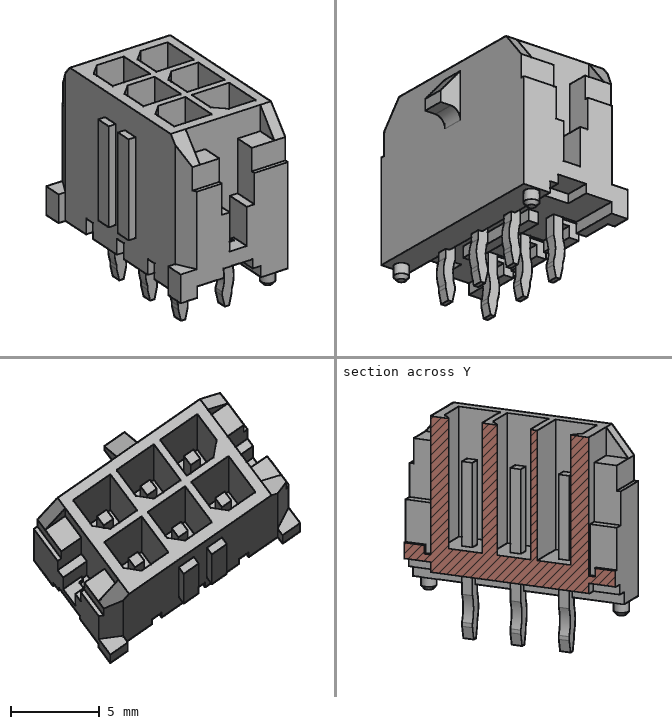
import cadquery as cq

HALF_WIDTH = 6.58
SHOULDER_HALF_WIDTH = 6.33
CORE_HALF_WIDTH = 4.93
DEPTH = 6.9
HEIGHT = 9.9
SHOULDER_Z = 6.75
POST_TOP_Z = 8.23
BACK_GUSSET_THICKNESS = 0.75
FRONT_GUSSET_THICKNESS = 1.03
CORNER_CUT_X = 1.22
CORNER_CUT_Y = 0.65

FOOT_PROJECTION = 0.47
FOOT_HEIGHT = 1.83
RIB_WIDTH = 1.04
RIB_CENTER_X = 0.97

LATCH_WIDTH = 1.42
LATCH_PROJECTION = 1.4
LATCH_BASE_TOP_Z = 9.34
LATCH_TIP_TOP_Z = 7.72
LATCH_BOTTOM_Z = 6.98
LATCH_FILLET = 0.7

MID_Y = 3.48
KEY_WIDTH = 2.24
KEY_FLOOR_Z = 4.76
NARROW_WIDTH = 1.17
NARROW_FLOOR_Z = 2.27
CLIP_HOLE_DEPTH = 0.5
CLIP_BAR_X = 5.3
CLIP_TONGUE_X = 5.6
CLIP_TONGUE_WIDTH = 0.8

PITCH = 3.01
COLUMNS = (-PITCH, 0.0, PITCH)
ROWS = (MID_Y - PITCH / 2, MID_Y + PITCH / 2)
SOCKET_SIZE = 2.58
SOCKET_CHAMFER = 0.72
SOCKET_FLOOR_Z = 2.27
PIN_SIZE = 0.66
PIN_TOP_Z = 7.23
BEND_TOP_Z = -0.54
BEND_BOTTOM_Z = -2.18
BEND_BULGE = 0.15
TAPER_TOP_Z = -2.42
PIN_BOTTOM_Z = -3.18
PIN_TIP_THICKNESS = 0.3

CHANNEL_FRONT_Y = 0.68
CHANNEL_BACK_Y = 5.05
CHANNEL_DEPTH = 0.72
SIDE_POCKET_WIDTH = 2.0
SIDE_POCKET_TOP_Z = 1.32
STANDOFF_THICKNESS = 0.68
STANDOFF_HALF_LENGTH = PITCH
NOTCH_HEIGHT = 1.01
PEG_X = 6.0
PEG_Y = 5.92
PEG_DIAMETER = 0.91
PEG_LENGTH = 0.9
PEG_CHAMFER_RADIAL = 0.21
PEG_CHAMFER_HEIGHT = 0.24

SIDES = (-1, 1)


def box(x_range, y_range, z_range):
    """Axis-aligned box between two limits on each axis, given in either order."""
    sizes = [abs(high - low) for low, high in (x_range, y_range, z_range)]
    corner = (min(x_range), min(y_range), min(z_range))
    return cq.Workplane("XY").box(*sizes, centered=False).translate(corner)


def centered_span(middle, width):
    return (middle - width / 2, middle + width / 2)


def housing_block():
    """Stepped outline with sloped shoulders, bevelled at the front corners, plus front feet."""
    right_half = [
        (HALF_WIDTH, 0),
        (HALF_WIDTH, SHOULDER_Z),
        (SHOULDER_HALF_WIDTH, SHOULDER_Z),
        (SHOULDER_HALF_WIDTH, POST_TOP_Z),
        (CORE_HALF_WIDTH, HEIGHT),
    ]
    left_half = [(-x, z) for x, z in reversed(right_half)]
    block = cq.Workplane("XZ").polyline(right_half + left_half).close().extrude(-DEPTH)
    for side in SIDES:
        bevel = (
            cq.Workplane("XY")
            .moveTo(side * HALF_WIDTH, 0)
            .lineTo(side * (HALF_WIDTH - CORNER_CUT_X), 0)
            .lineTo(side * HALF_WIDTH, CORNER_CUT_Y)
            .close()
            .extrude(HEIGHT)
        )
        foot = box(
            (side * (HALF_WIDTH - CORNER_CUT_X), side * HALF_WIDTH),
            (-FOOT_PROJECTION, CORNER_CUT_Y),
            (0, FOOT_HEIGHT),
        )
        block = block.cut(bevel).union(foot)
    return block


def side_cuts(side):
    """Everything removed from one side face: gusset gap, stepped key slot, clip hole, pocket."""
    to_core = (side * CORE_HALF_WIDTH, side * HALF_WIDTH)
    gap = box(
        to_core,
        (FRONT_GUSSET_THICKNESS, DEPTH - BACK_GUSSET_THICKNESS),
        (POST_TOP_Z, HEIGHT),
    )
    key = box(to_core, centered_span(MID_Y, KEY_WIDTH), (KEY_FLOOR_Z, POST_TOP_Z))
    narrow = box(to_core, centered_span(MID_Y, NARROW_WIDTH), (NARROW_FLOOR_Z, KEY_FLOOR_Z))
    hole_z = (NARROW_FLOOR_Z - CLIP_HOLE_DEPTH, NARROW_FLOOR_Z)
    clip_bar = box(
        (side * CORE_HALF_WIDTH, side * CLIP_BAR_X), centered_span(MID_Y, NARROW_WIDTH), hole_z
    )
    clip_tongue = box(
        (side * CLIP_BAR_X, side * CLIP_TONGUE_X), centered_span(MID_Y, CLIP_TONGUE_WIDTH), hole_z
    )
    pocket = box(to_core, centered_span(MID_Y, SIDE_POCKET_WIDTH), (0, SIDE_POCKET_TOP_Z))
    return gap.union(key).union(narrow).union(clip_bar).union(clip_tongue).union(pocket)


def front_rib(side):
    return box(
        centered_span(side * RIB_CENTER_X, RIB_WIDTH),
        (-FOOT_PROJECTION, 0),
        (FOOT_HEIGHT, POST_TOP_Z),
    )


def latch():
    """Ramped catch with a concave fillet where its underside meets the back face."""
    tip_y = DEPTH + LATCH_PROJECTION
    return (
        cq.Workplane("YZ")
        .moveTo(DEPTH, LATCH_BASE_TOP_Z)
        .lineTo(tip_y, LATCH_TIP_TOP_Z)
        .lineTo(tip_y, LATCH_BOTTOM_Z)
        .lineTo(DEPTH + LATCH_FILLET, LATCH_BOTTOM_Z)
        .radiusArc((DEPTH, LATCH_BOTTOM_Z - LATCH_FILLET), -LATCH_FILLET)
        .close()
        .extrude(LATCH_WIDTH / 2, both=True)
    )


def socket(x, y, chamfer_side):
    """Square socket whose front corner on the chosen side is chamfered."""
    half = SOCKET_SIZE / 2
    outline = [
        (-chamfer_side * half, -half),
        (chamfer_side * (half - SOCKET_CHAMFER), -half),
        (chamfer_side * half, SOCKET_CHAMFER - half),
        (chamfer_side * half, half),
        (-chamfer_side * half, half),
    ]
    prism = cq.Workplane("XY").polyline(outline).close().extrude(HEIGHT - SOCKET_FLOOR_Z)
    return prism.translate((x, y, SOCKET_FLOOR_Z))


def pin(x, y, bulge_direction):
    """Square contact whose tail bows toward bulge_direction along Y and tapers to its tip."""
    half = PIN_SIZE / 2
    half_tip = PIN_TIP_THICKNESS / 2
    bulge = bulge_direction * BEND_BULGE
    bend_middle_z = (BEND_TOP_Z + BEND_BOTTOM_Z) / 2
    profile = (
        cq.Workplane("YZ")
        .moveTo(-half, PIN_TOP_Z)
        .lineTo(-half, BEND_TOP_Z)
        .threePointArc((bulge - half, bend_middle_z), (-half, BEND_BOTTOM_Z))
        .lineTo(-half, TAPER_TOP_Z)
        .lineTo(-half_tip, PIN_BOTTOM_Z)
        .lineTo(half_tip, PIN_BOTTOM_Z)
        .lineTo(half, TAPER_TOP_Z)
        .lineTo(half, BEND_BOTTOM_Z)
        .threePointArc((bulge + half, bend_middle_z), (half, BEND_TOP_Z))
        .lineTo(half, PIN_TOP_Z)
        .close()
    )
    return profile.extrude(PIN_SIZE / 2, both=True).translate((x, y, 0))


def peg(side):
    """Round locating peg with a conical tip, starting at the seating plane."""
    radius = PEG_DIAMETER / 2
    return (
        cq.Workplane("XZ")
        .lineTo(radius, 0)
        .lineTo(radius, PEG_CHAMFER_HEIGHT - PEG_LENGTH)
        .lineTo(radius - PEG_CHAMFER_RADIAL, -PEG_LENGTH)
        .lineTo(0, -PEG_LENGTH)
        .close()
        .revolve(360, (0, 0, 0), (0, 1, 0))
        .translate((side * PEG_X, PEG_Y, 0))
    )


front_row_y, back_row_y = ROWS

result = housing_block().union(latch())
for side in SIDES:
    result = result.cut(side_cuts(side)).union(front_rib(side)).union(peg(side))

channel = box((-HALF_WIDTH, HALF_WIDTH), (CHANNEL_FRONT_Y, CHANNEL_BACK_Y), (0, CHANNEL_DEPTH))
standoff = box(
    (-STANDOFF_HALF_LENGTH, STANDOFF_HALF_LENGTH),
    centered_span(MID_Y, STANDOFF_THICKNESS),
    (0, CHANNEL_DEPTH),
)
result = result.cut(channel).union(standoff)

for x in COLUMNS:
    notch = box(centered_span(x, PIN_SIZE), (0, front_row_y), (0, NOTCH_HEIGHT))
    result = result.cut(notch)

for y in ROWS:
    for x in COLUMNS:
        chamfer_side = 1 if (x == COLUMNS[-1] and y == back_row_y) else -1
        bulge_direction = 1 if y == back_row_y else -1
        result = result.cut(socket(x, y, chamfer_side)).union(pin(x, y, bulge_direction))